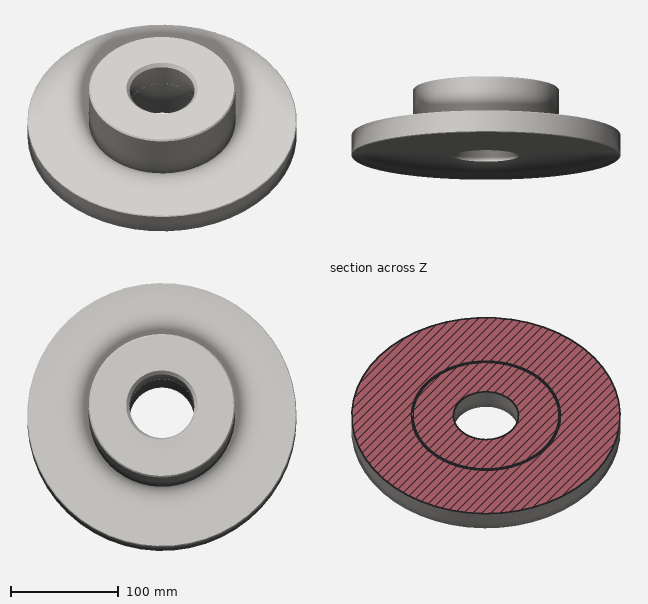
import cadquery as cq

flange_diameter = 250.0
flange_thickness = 20.5
flange_chamfer = 0.8

boss_diameter = 136.0
overall_height = 63.0
rim_chamfer = 1.2
groove_diameter = 138.0
groove_depth = 1.0

ring_diameter = 130.0
ring_height = 24.2
ring_bottom = overall_height - ring_height
ring_bore_diameter = 60.2
ring_bore_chamfer = 3.0

flange_bore_diameter = 60.0


def cylinder(diameter, bottom, top):
    """Upright cylinder on the Z axis between two heights."""
    return cq.Workplane("XY").workplane(offset=bottom).circle(diameter / 2).extrude(top - bottom)


def make_flange():
    """Disc and boss in one solid, with the groove, ring seat and bore cut out."""
    disc = cylinder(flange_diameter, 0, flange_thickness).edges("%CIRCLE").chamfer(flange_chamfer)
    groove = cylinder(groove_diameter, flange_thickness - groove_depth, flange_thickness)
    boss = cylinder(boss_diameter, 0, overall_height).edges(">Z").chamfer(rim_chamfer)
    seat = cylinder(ring_diameter, ring_bottom, overall_height)
    bore = cylinder(flange_bore_diameter, 0, overall_height)
    return disc.cut(groove).union(boss).cut(seat).cut(bore)


def make_ring():
    """Ring that fills the seat, with a chamfered mouth to its bore."""
    blank = cylinder(ring_diameter, ring_bottom, overall_height)
    ring = blank.cut(cylinder(ring_bore_diameter, ring_bottom, overall_height))
    bore_mouth = ring.faces(">Z").edges(cq.selectors.RadiusNthSelector(0))
    return bore_mouth.chamfer(ring_bore_chamfer)


flange = make_flange()
ring = make_ring()
result = cq.Compound.makeCompound([flange.val(), ring.val()])